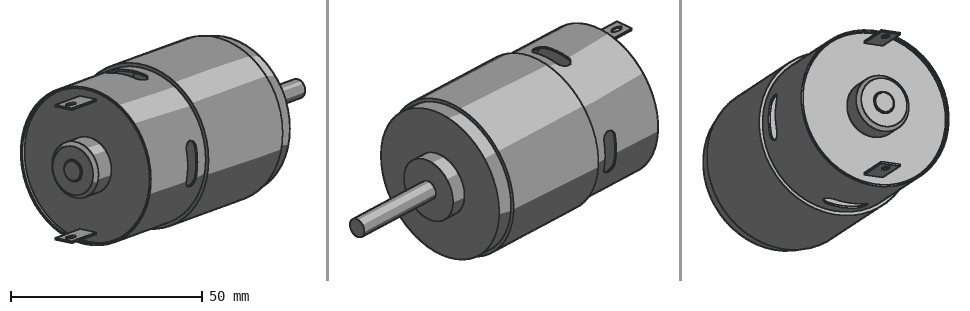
import cadquery as cq


shaft_tip_y = 50.8
front_boss_y = 23.6
can_front_y = 19.3
ring_front_y = 14.8
cavity_front_y = 2.4
ring_rear_y = -17.4
vent_y = -23.0
can_rear_y = -41.1
bearing_rear_y = -46.7
shaft_rear_y = -47.0
terminal_tip_y = -50.8

can_radius = 21.3
ring_radius = 44.6 / 2
can_wall = 0.5
end_cap_thickness = 2.0
end_cap_recess = 1.0

shaft_radius = 2.6
front_boss_radius = 8.8
bearing_radius = 7.6
bearing_chamfer = 1.0
bearing_bore_radius = 2.9
bearing_bore_depth = 0.5

vent_length = 12.4
vent_width = 4.3

terminal_width = 5.4
terminal_thickness = 0.5
terminal_height = 18.1
eyelet_length = 3.7
eyelet_width = 1.7
eyelet_y = -47.7

end_cap_y = can_rear_y + end_cap_recess


def axial_cylinder(radius, y_start, y_end):
    """Solid cylinder on the Y axis between two stations."""
    plane = cq.Workplane("XZ", origin=(0, y_start, 0))
    return plane.circle(radius).extrude(y_start - y_end)


def can():
    """Can hollow at the rear and solid at the front, with a flux ring and a recessed rear end cap."""
    inner_radius = can_radius - can_wall
    cap_front_y = end_cap_y + end_cap_thickness
    outside = axial_cylinder(can_radius, can_rear_y, can_front_y)
    outside = outside.union(axial_cylinder(ring_radius, ring_rear_y, ring_front_y))
    cavity = axial_cylinder(inner_radius, cap_front_y, cavity_front_y)
    recess = axial_cylinder(inner_radius, can_rear_y, end_cap_y)
    return outside.cut(cavity).cut(recess)


def vents():
    """Two crossing obround cutters that open four vents around the can."""
    cutter_length = 3 * can_radius
    upright = (
        cq.Workplane("XY", origin=(0, vent_y, 0))
        .slot2D(vent_length, vent_width)
        .extrude(cutter_length / 2, both=True)
    )
    sideways = upright.rotate((0, 0, 0), (0, 1, 0), 90)
    return upright.union(sideways)


def rear_bearing():
    """Rear bearing housing, chamfered at its outer end."""
    housing = axial_cylinder(bearing_radius, bearing_rear_y, end_cap_y)
    return housing.faces("<Y").chamfer(bearing_chamfer)


def shaft_clearance():
    """Shallow bore that leaves a thin ring gap around the rear end of the shaft."""
    return axial_cylinder(bearing_bore_radius, bearing_rear_y, bearing_rear_y + bearing_bore_depth)


def terminal(height):
    """Flat tab with an elliptical eyelet, standing out of the end cap."""
    length = end_cap_y - terminal_tip_y
    middle_y = (end_cap_y + terminal_tip_y) / 2
    tab = cq.Workplane("XY").box(terminal_width, length, terminal_thickness)
    tab = tab.translate((0, middle_y, height))
    eyelet = (
        cq.Workplane("XY", origin=(0, eyelet_y, height))
        .ellipse(eyelet_width / 2, eyelet_length / 2)
        .extrude(terminal_thickness, both=True)
    )
    return tab.cut(eyelet)


motor = can().cut(vents())
motor = motor.union(axial_cylinder(front_boss_radius, can_front_y, front_boss_y))
motor = motor.union(rear_bearing().cut(shaft_clearance()))
motor = motor.union(axial_cylinder(shaft_radius, shaft_rear_y, shaft_tip_y))
for height in (-terminal_height, terminal_height):
    motor = motor.union(terminal(height))

result = motor